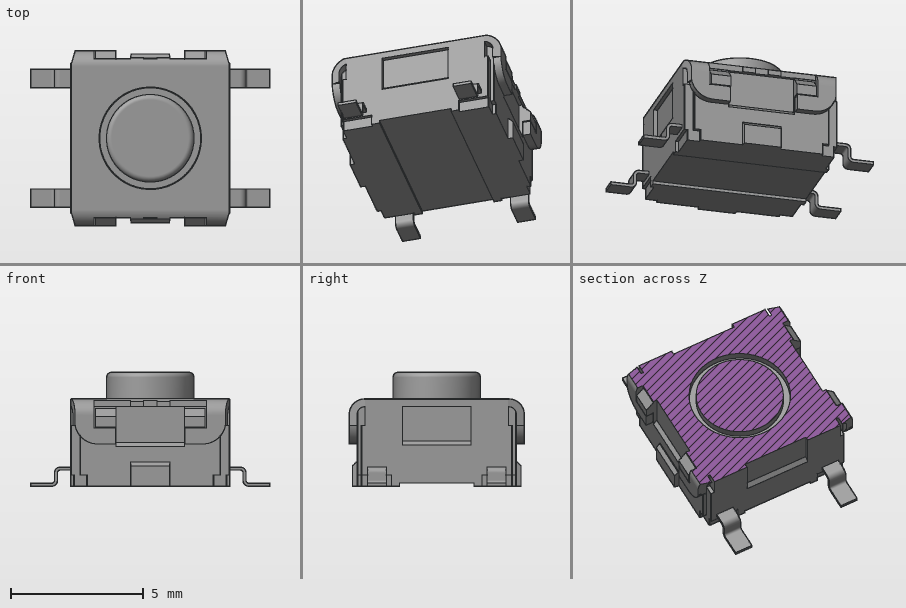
import cadquery as cq
import math


BODY_HALF = 3.0
BODY_TOP = 3.0
CORNER_STEP = 0.15
PANEL_HALF_X = 2.65
FOOT_HALF_X = 2.40
FOOT_HEIGHT = 0.43
FOOT_INSET = 0.12
FOOT_INNER_Y = 1.70
EDGE_BREAK = 0.03
ARM_NOTCH_Y = 2.70
ARM_NOTCH_Z = 2.30
CHANNEL_HALF_Y = 1.40
CHANNEL_DEPTH = 0.12

RECESS_HALF = 1.29
RECESS_DEPTH = 0.15
RECESS_BOTTOM_X = 1.55
RECESS_BOTTOM_Y = 1.50

CLIP_HALF_ROOT = 0.75
CLIP_HALF_TIP = 0.72
CLIP_REACH = 0.18
CLIP_HEIGHT = 0.92
CLIP_LEDGE = 0.03

SHEET = 0.30
COVER_TOP = BODY_TOP + SHEET
COVER_HALF_Y = BODY_HALF + SHEET
COVER_HALF_X = BODY_HALF
BEND_RADIUS = 0.60
BEND_INNER_RADIUS = BEND_RADIUS - SHEET
FLANGE_BOTTOM = 1.60
FLANGE_TIP_HALF_X = 2.83
FLANGE_CORNER_RADIUS = 0.85
FLANGE_CORNER_HEIGHT = 0.70
TAPER_START_Y = COVER_HALF_Y - BEND_RADIUS
WELL_DIAMETER = 3.8
WELL_FLOOR = 2.70

WINDOW_HALF_X = 2.12
WINDOW_BOTTOM = 2.20
WINDOW_INNER_Y = 2.98
GATE_HALF_X = 1.31
TOOTH_INNER_X = 0.25
TOOTH_OUTER_X = 0.75
TOOTH_REACH = 0.06

HOOK_INNER_X = RECESS_HALF
HOOK_OUTER_X = 2.06
HOOK_BOTTOM = 2.23
HOOK_TOP = 2.93

BUTTON_DIAMETER = 3.3
BUTTON_TOP = 4.3
BUTTON_FILLET = 0.2

LEAD_SPAN_X = 9.0
LEAD_PITCH_Y = 4.5
LEAD_WIDTH = 0.70
LEAD_THICKNESS = 0.12
LEAD_TOP = 0.73
LEAD_RISER_X = 3.61
LEAD_INNER_RADIUS = 0.10
LEAD_OUTER_RADIUS = LEAD_INNER_RADIUS + LEAD_THICKNESS

SIDES = (-1, 1)


def box(x_min, x_max, y_min, y_max, z_min, z_max):
    """Axis-aligned block between the given limits."""
    size = (x_max - x_min, y_max - y_min, z_max - z_min)
    return cq.Workplane("XY").box(*size, centered=False).translate((x_min, y_min, z_min))


def disc(diameter, z_min, z_max):
    """Upright cylinder on the part axis."""
    return cq.Workplane("XY").workplane(offset=z_min).circle(diameter / 2).extrude(z_max - z_min)


def extrude_along_x(points, x_min, x_max):
    """Prism with a closed (y, z) outline."""
    return cq.Workplane("YZ").workplane(offset=x_min).polyline(points).close().extrude(x_max - x_min)


def mirrored_y(shape):
    """The shape together with its copy on the opposite Y side."""
    return shape.union(shape.mirror("XZ"))


def four_corners(shape):
    """The shape repeated in all four XY quadrants."""
    pair = shape.union(shape.mirror("YZ"))
    return mirrored_y(pair)


def body_layer(side_x, panel_x, z_min, z_max):
    """Horizontal slice of the body: stepped corners with broken outer edges."""
    strip_y = BODY_HALF - CORNER_STEP
    height = z_max - z_min
    core = (
        cq.Workplane("XY").workplane(offset=z_min)
        .rect(2 * side_x, 2 * strip_y).extrude(height)
        .edges("|Z").chamfer(EDGE_BREAK)
    )
    panel = (
        cq.Workplane("XY").workplane(offset=z_min)
        .rect(2 * panel_x, 2 * BODY_HALF).extrude(height)
        .edges("|Z").chamfer(EDGE_BREAK)
    )
    return core.union(panel)


def recess(bottom):
    """Cutter for the -Y wall: pocket up to the body top with a 45 degree floor."""
    face = -BODY_HALF
    back = face + RECESS_DEPTH
    points = [(face, bottom), (back, bottom + RECESS_DEPTH), (back, BODY_TOP), (face, BODY_TOP)]
    return extrude_along_x(points, -RECESS_HALF, RECESS_HALF)


def make_body():
    feet = body_layer(BODY_HALF - FOOT_INSET, FOOT_HALF_X, 0, FOOT_HEIGHT)
    feet = feet.union(box(-BODY_HALF, BODY_HALF, -FOOT_INNER_Y, FOOT_INNER_Y, 0, FOOT_HEIGHT))
    body = feet.union(body_layer(BODY_HALF, PANEL_HALF_X, FOOT_HEIGHT, BODY_TOP))
    notch = box(PANEL_HALF_X, BODY_HALF, ARM_NOTCH_Y, BODY_HALF, ARM_NOTCH_Z, BODY_TOP)
    body = body.cut(four_corners(notch))
    channel = box(-BODY_HALF, BODY_HALF, -CHANNEL_HALF_Y, CHANNEL_HALF_Y, 0, CHANNEL_DEPTH)
    body = body.cut(channel)
    return body.cut(disc(WELL_DIAMETER, WELL_FLOOR, BODY_TOP))


def cut_recesses(part):
    part = part.cut(mirrored_y(recess(RECESS_BOTTOM_Y)))
    side_pair = mirrored_y(recess(RECESS_BOTTOM_X)).rotate((0, 0, 0), (0, 0, 1), 90)
    return part.cut(side_pair)


def make_clip():
    """Clip on the -Y face, narrowing outward, with a 45 degree slope along its top."""
    root = -BODY_HALF
    tip = root - CLIP_REACH
    plan = [(-CLIP_HALF_ROOT, root), (CLIP_HALF_ROOT, root), (CLIP_HALF_TIP, tip), (-CLIP_HALF_TIP, tip)]
    block = cq.Workplane("XY").polyline(plan).close().extrude(CLIP_HEIGHT)
    slope_z = CLIP_HEIGHT - (CLIP_REACH - CLIP_LEDGE)
    side = [(root, 0), (root, CLIP_HEIGHT), (root - CLIP_LEDGE, CLIP_HEIGHT), (tip, slope_z), (tip, 0)]
    return block.intersect(extrude_along_x(side, -CLIP_HALF_ROOT, CLIP_HALF_ROOT))


def make_hook():
    """Hook in the +X, -Y window corner, flush with the cover flange."""
    root = -WINDOW_INNER_Y
    face = -BODY_HALF
    tip = -COVER_HALF_Y
    points = [
        (root, HOOK_BOTTOM), (root, HOOK_TOP), (face, HOOK_TOP),
        (tip, HOOK_TOP - SHEET), (tip, HOOK_BOTTOM),
    ]
    return extrude_along_x(points, HOOK_INNER_X, HOOK_OUTER_X)


def bent_slab(half_y, top, radius):
    """Full-width block whose two upper long edges are rounded."""
    slab = box(-COVER_HALF_X, COVER_HALF_X, -half_y, half_y, FLANGE_BOTTOM, top)
    return slab.edges("|X and >Z").fillet(radius)


def cover_plan():
    """Plan outline of the cover: the bends taper toward the flanges."""
    quarter = [(COVER_HALF_X, TAPER_START_Y), (FLANGE_TIP_HALF_X, COVER_HALF_Y)]
    right = [(x, -y) for x, y in reversed(quarter)] + quarter
    left = [(-x, -y) for x, y in right]
    height = COVER_TOP - FLANGE_BOTTOM
    return cq.Workplane("XY").workplane(offset=FLANGE_BOTTOM).polyline(right + left).close().extrude(height)


def flange_corner_trim():
    """Cutter that rounds the lower +X corner of the -Y flange."""
    center_above_side = FLANGE_CORNER_RADIUS - FLANGE_CORNER_HEIGHT
    corner_width = math.sqrt(FLANGE_CORNER_RADIUS**2 - center_above_side**2)
    start_x = FLANGE_TIP_HALF_X - corner_width
    corner = box(
        start_x, COVER_HALF_X, -COVER_HALF_Y, -BODY_HALF,
        FLANGE_BOTTOM, FLANGE_BOTTOM + FLANGE_CORNER_HEIGHT,
    )
    round_part = (
        cq.Workplane("XZ", origin=(start_x, -BODY_HALF, FLANGE_BOTTOM + FLANGE_CORNER_RADIUS))
        .circle(FLANGE_CORNER_RADIUS).extrude(SHEET)
    )
    return corner.cut(round_part)


def flange_window():
    """Cutter for the -Y flange: T-shaped opening with two teeth at its upper edge."""
    outer = -COVER_HALF_Y
    inner = -WINDOW_INNER_Y
    window = box(-WINDOW_HALF_X, WINDOW_HALF_X, outer, inner, WINDOW_BOTTOM, COVER_TOP)
    gate = box(-GATE_HALF_X, GATE_HALF_X, outer, inner, FLANGE_BOTTOM, WINDOW_BOTTOM)
    window = window.union(gate)
    for side in SIDES:
        x_limits = sorted((side * TOOTH_INNER_X, side * TOOTH_OUTER_X))
        window = window.cut(box(*x_limits, inner - TOOTH_REACH, inner, BODY_TOP, COVER_TOP))
    return window


def make_cover():
    outer = bent_slab(COVER_HALF_Y, COVER_TOP, BEND_RADIUS)
    inner = bent_slab(BODY_HALF, BODY_TOP, BEND_INNER_RADIUS)
    cover = outer.cut(inner).intersect(cover_plan())
    cover = cover.cut(four_corners(flange_corner_trim()))
    cover = cover.cut(mirrored_y(flange_window()))
    cover = cover.cut(disc(WELL_DIAMETER, BODY_TOP, COVER_TOP))
    top_edges = cover.faces(">Z").edges("|Y or %CIRCLE")
    return top_edges.chamfer(EDGE_BREAK)


def make_button():
    return disc(BUTTON_DIAMETER, WELL_FLOOR, BUTTON_TOP).faces(">Z").edges().fillet(BUTTON_FILLET)


def make_lead():
    """Gull-wing lead leaving the +X face, on the +Y side."""
    root_x = BODY_HALF - FOOT_INSET
    tip_x = LEAD_SPAN_X / 2
    inner_riser_x = LEAD_RISER_X - LEAD_THICKNESS
    upper_center_x = LEAD_RISER_X - LEAD_OUTER_RADIUS
    upper_center_z = LEAD_TOP - LEAD_OUTER_RADIUS
    lower_center_x = LEAD_RISER_X + LEAD_INNER_RADIUS
    lower_center_z = LEAD_OUTER_RADIUS
    under_z = LEAD_TOP - LEAD_THICKNESS
    profile = (
        cq.Workplane("XZ", origin=(0, (LEAD_PITCH_Y + LEAD_WIDTH) / 2, 0))
        .moveTo(root_x, LEAD_TOP)
        .lineTo(upper_center_x, LEAD_TOP)
        .radiusArc((LEAD_RISER_X, upper_center_z), LEAD_OUTER_RADIUS)
        .lineTo(LEAD_RISER_X, lower_center_z)
        .radiusArc((lower_center_x, LEAD_THICKNESS), -LEAD_INNER_RADIUS)
        .lineTo(tip_x, LEAD_THICKNESS)
        .lineTo(tip_x, 0)
        .lineTo(lower_center_x, 0)
        .radiusArc((inner_riser_x, lower_center_z), LEAD_OUTER_RADIUS)
        .lineTo(inner_riser_x, upper_center_z)
        .radiusArc((upper_center_x, under_z), -LEAD_INNER_RADIUS)
        .lineTo(root_x, under_z)
        .close()
    )
    return profile.extrude(LEAD_WIDTH)


part = make_body().union(make_cover())
part = cut_recesses(part)
part = part.union(four_corners(make_hook()))
part = part.union(mirrored_y(make_clip()))
part = part.union(four_corners(make_lead()))
result = part.union(make_button())